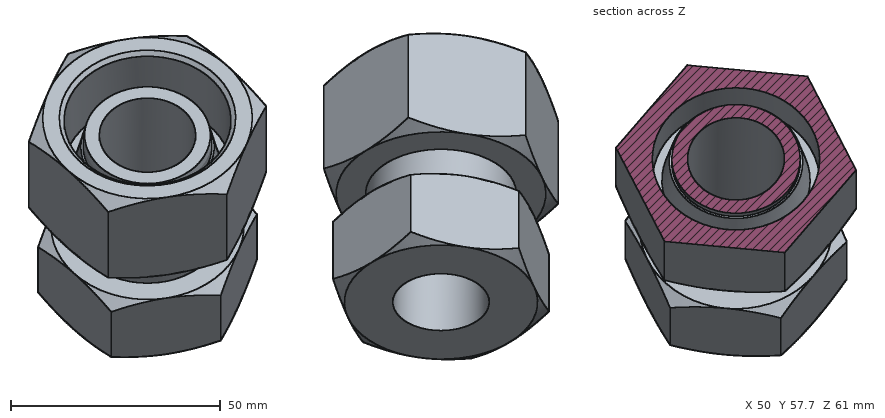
import cadquery as cq
import math

total_height = 61.0
large_hex_height = 29.0
small_hex_height = 21.0
large_hex_base = total_height - large_hex_height

large_hex_flats = 50.0
small_hex_flats = 46.1
hex_sides = 6
corner_chamfer_angle = 30.0

neck_diameter = 36.0
through_diameter = 23.0

socket_diameter = 39.85
socket_mouth_diameter = 42.1
socket_mouth_depth = 0.9

nozzle_tip_depth = 6.4
nozzle_tip_diameter = 30.0
nozzle_base_diameter = 35.4
nozzle_half_angle = 12.0
seal_seat_diameter = 30.75
seal_ledge_diameter = 31.85


def cone_chamfered_hex(flats, height, base):
    """Hexagon with corners on the Y axis, both ends turned to a cone that starts at the flats."""
    corner_diameter = flats / math.cos(math.pi / hex_sides)
    flat_radius = flats / 2
    corner_radius = corner_diameter / 2
    drop = (corner_radius - flat_radius) * math.tan(math.radians(corner_chamfer_angle))
    prism = cq.Workplane("XY").polygon(hex_sides, corner_diameter).extrude(height)
    prism = prism.rotate((0, 0, 0), (0, 0, 1), 180 / hex_sides)
    envelope = (
        cq.Workplane("XZ")
        .polyline([
            (0, 0),
            (flat_radius, 0),
            (corner_radius, drop),
            (corner_radius, height - drop),
            (flat_radius, height),
            (0, height),
        ])
        .close()
        .revolve(360, (0, 0), (0, 1))
    )
    return prism.intersect(envelope).translate((0, 0, base))


def nozzle_height_at(diameter):
    """Height at which the nozzle cone reaches the given diameter."""
    radial_growth = (diameter - nozzle_tip_diameter) / 2
    drop = radial_growth / math.tan(math.radians(nozzle_half_angle))
    return total_height - nozzle_tip_depth - drop


def socket_cut():
    """Ring-shaped space around the nozzle, open at the top with a bevelled mouth."""
    tip = nozzle_height_at(nozzle_tip_diameter)
    seal_top = nozzle_height_at(seal_seat_diameter)
    seal_ledge = nozzle_height_at(seal_ledge_diameter)
    floor = nozzle_height_at(nozzle_base_diameter)
    return (
        cq.Workplane("XZ")
        .polyline([
            (0, tip),
            (nozzle_tip_diameter / 2, tip),
            (seal_seat_diameter / 2, seal_top),
            (seal_seat_diameter / 2, seal_ledge),
            (seal_ledge_diameter / 2, seal_ledge),
            (nozzle_base_diameter / 2, floor),
            (socket_diameter / 2, floor),
            (socket_diameter / 2, total_height - socket_mouth_depth),
            (socket_mouth_diameter / 2, total_height),
            (0, total_height),
        ])
        .close()
        .revolve(360, (0, 0), (0, 1))
    )


large_hex = cone_chamfered_hex(large_hex_flats, large_hex_height, large_hex_base)
small_hex = cone_chamfered_hex(small_hex_flats, small_hex_height, 0)
neck = cq.Workplane("XY").circle(neck_diameter / 2).extrude(large_hex_base)
through_hole = cq.Workplane("XY").circle(through_diameter / 2).extrude(total_height)

result = neck.union(small_hex).union(large_hex).cut(socket_cut()).cut(through_hole)